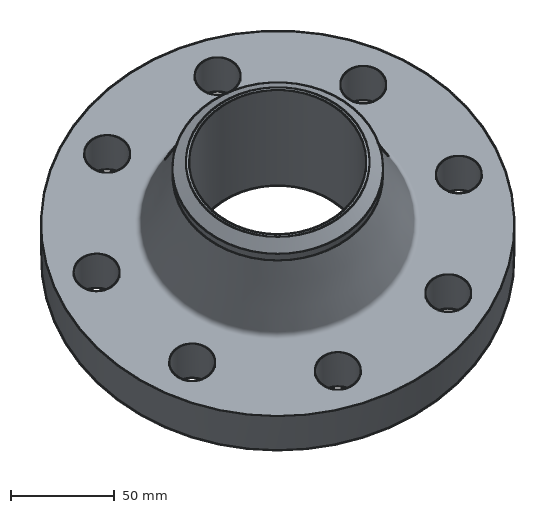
import cadquery as cq
import math

flange_diameter = 228.5
flange_thickness = 28.5

overall_height = 79.5
bore_diameter = 85.5
neck_diameter = 101.7
hub_base_diameter = 133.5
neck_straight_height = 5.5
hub_fillet_radius = 3.0

land_width = 1.5
bevel_angle = 37.5

bolt_count = 8
bolt_circle_diameter = 184.2
bolt_hole_diameter = 22.2

flange_radius = flange_diameter / 2
bore_radius = bore_diameter / 2
neck_radius = neck_diameter / 2
hub_base_radius = hub_base_diameter / 2
land_radius = bore_radius + land_width
bevel_height = (neck_radius - land_radius) * math.tan(math.radians(bevel_angle))
bevel_bottom = overall_height - bevel_height
cone_top = bevel_bottom - neck_straight_height


def tangent_fillet_points():
    """Start, middle and end (radius, height) of the concave arc from the plate face to the hub cone."""
    cone_angle = math.atan2(cone_top - flange_thickness, hub_base_radius - neck_radius)
    tangent_length = hub_fillet_radius * math.tan(cone_angle / 2)
    center_radius = hub_base_radius + tangent_length
    center_height = flange_thickness + hub_fillet_radius

    def arc_point(turn):
        return (
            center_radius - hub_fillet_radius * math.sin(turn),
            center_height - hub_fillet_radius * math.cos(turn),
        )

    return arc_point(0), arc_point(cone_angle / 2), arc_point(cone_angle)


def make_body():
    """Revolve the half section of plate, hub and neck around Z, leaving the bore open."""
    fillet_start, fillet_middle, fillet_end = tangent_fillet_points()
    return (
        cq.Workplane("XZ")
        .moveTo(bore_radius, 0)
        .lineTo(flange_radius, 0)
        .lineTo(flange_radius, flange_thickness)
        .lineTo(*fillet_start)
        .threePointArc(fillet_middle, fillet_end)
        .lineTo(neck_radius, cone_top)
        .lineTo(neck_radius, bevel_bottom)
        .lineTo(land_radius, overall_height)
        .lineTo(bore_radius, overall_height)
        .close()
        .revolve(360, (0, 0, 0), (0, 1, 0))
    )


def make_bolt_holes():
    """Cylinders through the plate, evenly spaced on the bolt circle with the first on +X."""
    return (
        cq.Workplane("XY")
        .polarArray(bolt_circle_diameter / 2, 0, 360, bolt_count)
        .circle(bolt_hole_diameter / 2)
        .extrude(flange_thickness)
    )


result = make_body().cut(make_bolt_holes())